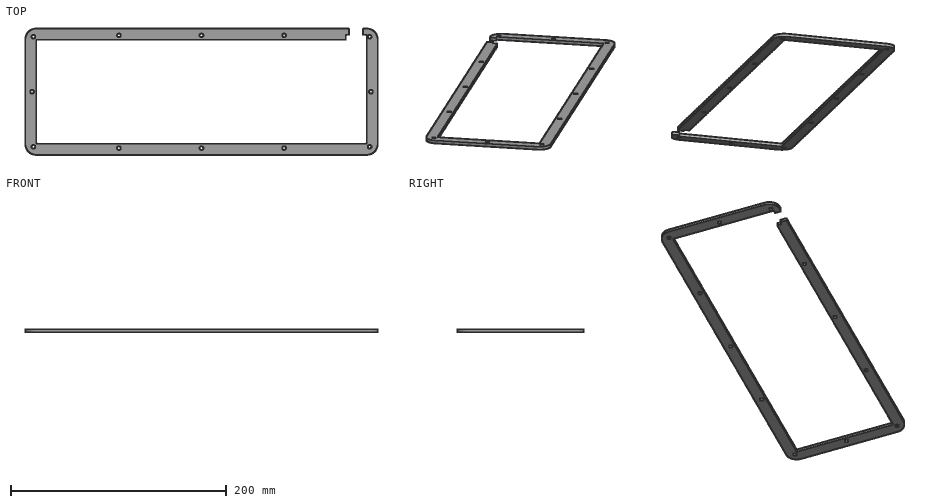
import cadquery as cq

length = 326.85
width = 117.3
thickness = 3.0
rail = 10.5
corner_radius = rail
inner_corner_radius = 0.5

mouth_width = 12.85
left_lip_length = 3.1
right_lip_length = 3.325
lip_depth = 6.0
lip_tip_radius = 1.0
lip_root_radius = 1.0
rail_end_radius = 0.5

hole_diameter = 3.3
rail_hole_inset = 6.5
corner_hole_inset = 7.65
long_rail_pitch = 76.45

half_length = length / 2
half_width = width / 2
inner_half_length = half_length - rail
inner_half_width = half_width - rail

mouth_right = inner_half_length - right_lip_length
mouth_left = mouth_right - mouth_width
pocket_right = inner_half_length
pocket_left = mouth_left - left_lip_length
lip_bottom = half_width - lip_depth


def make_frame():
    """Rectangular ring with large outer corner rounds and small inner ones."""
    outer = cq.Workplane("XY").rect(length, width).extrude(thickness)
    outer = outer.edges("|Z").fillet(corner_radius)
    opening = cq.Workplane("XY").rect(2 * inner_half_length, 2 * inner_half_width).extrude(thickness)
    opening = opening.edges("|Z").fillet(inner_corner_radius)
    return outer.cut(opening)


def make_gap():
    """Stepped gap; the pocket reaches into the opening, past its rounded corner."""
    pocket_bottom = inner_half_width - inner_corner_radius
    outline = [
        (mouth_left, half_width),
        (mouth_left, lip_bottom),
        (pocket_left, lip_bottom),
        (pocket_left, pocket_bottom),
        (pocket_right, pocket_bottom),
        (pocket_right, lip_bottom),
        (mouth_right, lip_bottom),
        (mouth_right, half_width),
    ]
    return cq.Workplane("XY").polyline(outline).close().extrude(thickness)


def round_corner(body, x, y, radius):
    """Fillet the vertical edge nearest to (x, y)."""
    nearest = cq.selectors.NearestToPointSelector((x, y, thickness / 2))
    return body.edges("|Z").edges(nearest).fillet(radius)


def round_gap(body):
    """Round the lip tips at the outer edge, the lip roots and the inner end of the cut rail."""
    for x in (mouth_left, mouth_right):
        body = round_corner(body, x, half_width, lip_tip_radius)
    for x in (pocket_left, pocket_right):
        body = round_corner(body, x, lip_bottom, lip_root_radius)
    return round_corner(body, pocket_left, inner_half_width, rail_end_radius)


def hole_centers():
    """Three holes in each long rail, one in each short rail and one in each corner."""
    centers = []
    for side in (-1, 1):
        centers.append((side * (half_length - rail_hole_inset), 0))
        for step in (-1, 0, 1):
            centers.append((step * long_rail_pitch, side * (half_width - rail_hole_inset)))
        for end in (-1, 1):
            corner_x = end * (half_length - corner_hole_inset)
            corner_y = side * (half_width - corner_hole_inset)
            centers.append((corner_x, corner_y))
    return centers


def make_holes():
    """Through-hole cutters for all screw positions."""
    return cq.Workplane("XY").pushPoints(hole_centers()).circle(hole_diameter / 2).extrude(thickness)


frame = round_gap(make_frame().cut(make_gap()))
result = frame.cut(make_holes())